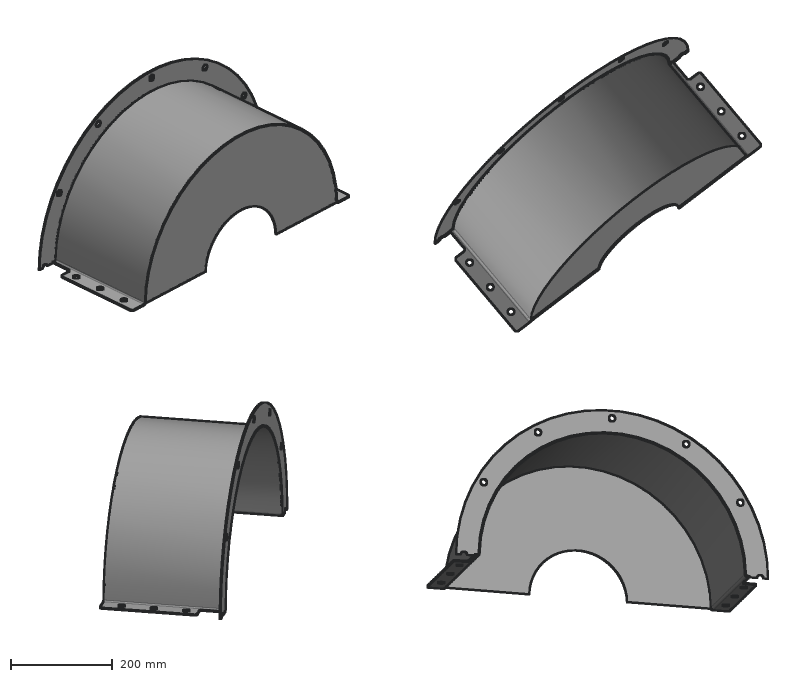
import cadquery as cq
import math

length = 245.0
sheet = 2.5
shell_radius = 273.0
bend_radius = 2.5
hole_diameter = 13.0

ring_radius = 318.0
ring_hole_circle = 302.0
ring_hole_step = 30

foot_edge = 308.5
notch_length = 50.0
notch_edge = 280.0
foot_corner = 5.0
foot_hole_y = 290.0
first_foot_hole_x = 75.0
foot_hole_pitch = 65.0
foot_hole_count = 3

cutout_radius = 100.0

inner_radius = shell_radius - sheet
bend_top = sheet + bend_radius
bend_outer_radius = bend_radius + sheet
bend_y = math.sqrt((shell_radius + bend_radius) ** 2 - bend_top ** 2)


def on_shell(radius):
    """Y and Z where the bend meets the shell surface of the given radius."""
    scale = radius / (shell_radius + bend_radius)
    return bend_y * scale, bend_top * scale


def bend_middle(radius):
    """Y and Z halfway along the bend arc of the given radius."""
    shell_direction = math.pi + math.atan2(bend_top, bend_y)
    middle_direction = (shell_direction + 1.5 * math.pi) / 2
    return (
        bend_y + radius * math.cos(middle_direction),
        bend_top + radius * math.sin(middle_direction),
    )


def mirrored(point):
    return -point[0], point[1]


def hat_path(sketch, radius, fillet, base_z):
    """Draw from the +Y foot over the arch to the -Y foot, on one face of the sheet."""
    return (
        sketch.lineTo(bend_y, base_z)
        .threePointArc(bend_middle(fillet), on_shell(radius))
        .threePointArc((0, radius), mirrored(on_shell(radius)))
        .threePointArc(mirrored(bend_middle(fillet)), (-bend_y, base_z))
    )


def half_disc(radius, base_z, thickness):
    """Upper part of a disc, cut off level at base_z."""
    disc = cq.Workplane("YZ").circle(radius).extrude(thickness)
    keep = cq.Workplane("XY").box(
        2 * thickness, 2 * radius, radius, centered=(True, True, False)
    )
    return disc.intersect(keep.translate((0, 0, base_z)))


def under_shell():
    """Space filled by the shell's front end and everything inside its outer face."""
    sketch = cq.Workplane("YZ").moveTo(notch_edge, 0).lineTo(notch_edge, sheet)
    outline = hat_path(sketch, shell_radius, bend_radius, sheet)
    return outline.lineTo(-notch_edge, sheet).lineTo(-notch_edge, 0).close().extrude(sheet)


def make_ring():
    """Front ring that fits around the outside of the shell."""
    ring = half_disc(ring_radius, 0, sheet).cut(under_shell())
    hole_centres = [
        (
            ring_hole_circle * math.cos(math.radians(angle)),
            ring_hole_circle * math.sin(math.radians(angle)),
        )
        for angle in range(0, 181, ring_hole_step)
    ]
    holes = cq.Workplane("YZ").pushPoints(hole_centres).circle(hole_diameter / 2).extrude(sheet)
    return ring.cut(holes)


def make_foot_notch(side):
    """Cut-back of the foot behind the ring, on the side given by the sign of Y."""
    depth = foot_edge - notch_edge
    notch = cq.Workplane("XY").box(notch_length, depth, sheet, centered=(False, True, False))
    return notch.translate((0, side * (notch_edge + depth / 2), 0))


def make_shell():
    """Half-round shell with a bent foot along each side."""
    outer = cq.Workplane("YZ").moveTo(foot_edge, 0).lineTo(foot_edge, sheet)
    outer = hat_path(outer, shell_radius, bend_radius, sheet)
    outer = outer.lineTo(-foot_edge, sheet).lineTo(-foot_edge, 0).close().extrude(length)

    hollow = cq.Workplane("YZ").moveTo(0, 0)
    hollow = hat_path(hollow, inner_radius, bend_outer_radius, 0).close().extrude(length)
    shell = outer.cut(hollow)

    for side in (1, -1):
        shell = shell.cut(make_foot_notch(side))
    for side in (1, -1):
        corners = [
            (notch_length, side * foot_edge),
            (length, side * foot_edge),
            (notch_length, side * notch_edge),
        ]
        for x, y in corners:
            nearest = cq.selectors.NearestToPointSelector((x, y, sheet / 2))
            shell = shell.edges("|Z").edges(nearest).fillet(foot_corner)

    hole_centres = [
        (first_foot_hole_x + i * foot_hole_pitch, side * foot_hole_y)
        for i in range(foot_hole_count)
        for side in (1, -1)
    ]
    holes = cq.Workplane("XY").pushPoints(hole_centres).circle(hole_diameter / 2).extrude(sheet)
    return shell.cut(holes)


def make_end_plate():
    """Plate that closes the far end inside the shell, with a half-round opening."""
    plate = half_disc(inner_radius, sheet, sheet)
    opening = cq.Workplane("YZ").circle(cutout_radius).extrude(sheet)
    return plate.cut(opening).translate((length - sheet, 0, 0))


ring = make_ring()
shell = make_shell()
end_plate = make_end_plate()

result = cq.Compound.makeCompound([body.solids().val() for body in (ring, shell, end_plate)])